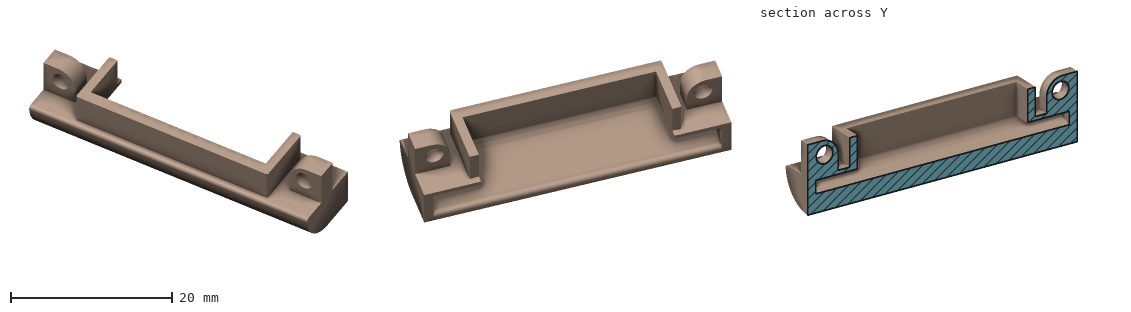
import cadquery as cq
import math

length = 40.0
base_height = 5.05
front_radius = base_height
base_depth = 10.0
front_edge_fillet = 0.45

lug_length = 4.6
lug_height = 4.6
lug_thickness = 2.8
lug_back_offset = 3.7
lug_corner_radius = 2.5
pin_hole_diameter = 2.4
pin_hole_from_end = 2.5
pin_hole_below_top = 2.0

frame_height = 4.0
frame_length = 27.6
frame_back_offset = 0.9
frame_front_offset = 9.1
frame_front_corner_radius = 0.25
frame_back_corner_radius = 0.2
frame_end_wall = 1.2
window_length = frame_length - 2 * frame_end_wall
window_depth = 7.5

top_plate = 0.6
cavity_end_wall = 1.2
cavity_length = length - 2 * cavity_end_wall
lip_height = 1.0
lip_depth = 0.85
lip_fillet = 0.5
ramp_depth = 5.9
ramp_angle = 22.0
bevel_depth = 0.5
bevel_angle = 35.0
front_slope_angle = 45.0


def rise(run, angle):
    """Height gained over a horizontal run at an angle in degrees."""
    return run * math.tan(math.radians(angle))


def extrude_along_x(profile, width):
    """Extrude a YZ profile symmetrically about x = 0."""
    return profile.extrude(width / 2, both=True)


def make_base():
    """Bar with a quarter-round front and a small fillet along its top front edge."""
    profile = (
        cq.Workplane("YZ")
        .lineTo(-(base_depth - front_radius), 0)
        .radiusArc((-base_depth, base_height), front_radius)
        .lineTo(0, base_height)
        .close()
    )
    top_front_edge = cq.selectors.NearestToPointSelector((0, -base_depth, base_height))
    return extrude_along_x(profile, length).edges(top_front_edge).fillet(front_edge_fillet)


def make_cavity():
    """Hollow with a rear lip and a floor that climbs towards the front in three slopes."""
    ceiling = base_height - top_plate
    ramp_end = lip_depth + ramp_depth
    ramp_top = lip_height + rise(ramp_depth, ramp_angle)
    bevel_end = ramp_end + bevel_depth
    bevel_top = ramp_top + rise(bevel_depth, bevel_angle)
    front_run = (ceiling - bevel_top) / math.tan(math.radians(front_slope_angle))
    profile = (
        cq.Workplane("YZ")
        .moveTo(0, lip_height - lip_fillet)
        .radiusArc((-lip_fillet, lip_height), -lip_fillet)
        .lineTo(-lip_depth, lip_height)
        .lineTo(-ramp_end, ramp_top)
        .lineTo(-bevel_end, bevel_top)
        .lineTo(-(bevel_end + front_run), ceiling)
        .lineTo(0, ceiling)
        .close()
    )
    return extrude_along_x(profile, cavity_length)


def make_window():
    """Opening through the top plate, running out at the back."""
    return (
        cq.Workplane("XY", origin=(0, -window_depth / 2, base_height - top_plate))
        .box(window_length, window_depth, top_plate + frame_height, centered=(True, True, False))
    )


def make_frame():
    """Block with rounded vertical edges that the window cut turns into a U-shaped wall."""
    frame_depth = frame_front_offset - frame_back_offset
    frame_middle = (frame_front_offset + frame_back_offset) / 2
    return (
        cq.Workplane("XY", origin=(0, -frame_middle, base_height))
        .box(frame_length, frame_depth, frame_height, centered=(True, True, False))
        .edges("|Z and <Y")
        .fillet(frame_front_corner_radius)
        .edges("|Z and >Y")
        .fillet(frame_back_corner_radius)
    )


def make_left_lug():
    """Lug at the -X end with a rounded inner top corner and a pin hole."""
    lug_middle = lug_back_offset + lug_thickness / 2
    end = -length / 2
    lug = (
        cq.Workplane("XY", origin=(end, -lug_middle, base_height))
        .box(lug_length, lug_thickness, lug_height, centered=(False, True, False))
        .edges(">X and >Z")
        .fillet(lug_corner_radius)
    )
    hole_height = base_height + lug_height - pin_hole_below_top
    hole = (
        cq.Workplane("XZ", origin=(end + pin_hole_from_end, -lug_middle, hole_height))
        .circle(pin_hole_diameter / 2)
        .extrude(lug_thickness, both=True)
    )
    return lug.cut(hole)


left_lug = make_left_lug()
right_lug = left_lug.mirror("YZ")

result = (
    make_base()
    .union(make_frame())
    .cut(make_cavity())
    .cut(make_window())
    .union(left_lug)
    .union(right_lug)
)